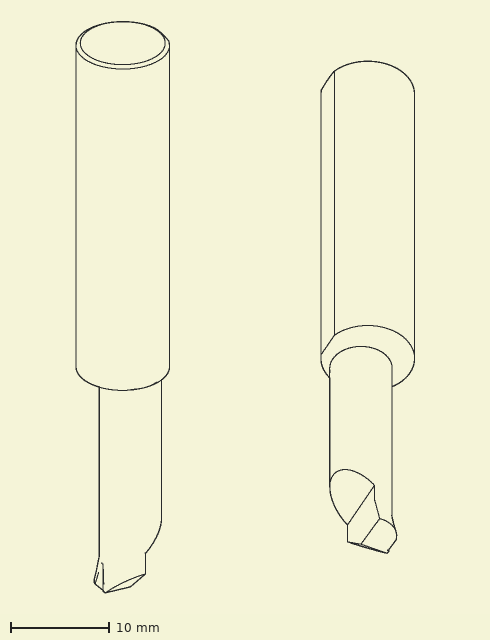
import cadquery as cq

total_length = 63.5
shank_radius = 4.75
shank_bottom = 25.4
shank_flat_y = 4.5
shank_chamfer_width = 0.45
shank_chamfer_height = 0.25
neck_radius = 3.2
neck_x = shank_radius - neck_radius

rake_start_z = 5.85
rake_end_z = 8.7

tip_top = 3.8
tip_lean = 1.2
tip_back_relief = 0.1
bottom_slope_x = 0.06
bottom_slope_y = 0.12
corner_bevel_top = 3.4
clearance = 12.7


def make_shank():
    length = total_length - shank_bottom
    chamfered_radius = shank_radius - shank_chamfer_width
    profile = [
        (0, shank_bottom),
        (shank_radius, shank_bottom),
        (shank_radius, total_length - shank_chamfer_height),
        (chamfered_radius, total_length),
        (0, total_length),
    ]
    shank = cq.Workplane("XZ").polyline(profile).close().revolve(360, (0, 0), (0, 1))
    flat_cut = (
        cq.Workplane("XY", origin=(0, shank_flat_y, shank_bottom))
        .box(clearance, clearance, length, centered=(True, False, False))
    )
    return shank.cut(flat_cut)


def make_tip():
    slanted = (
        cq.Workplane("XY", origin=(neck_x - tip_lean, 0, 0))
        .circle(neck_radius)
        .workplane(offset=tip_top)
        .center(tip_lean, 0)
        .circle(neck_radius)
        .loft(ruled=True)
    )
    side_outline = [
        (0, 0),
        (0, tip_top),
        (-neck_radius, tip_top),
        (-neck_radius + tip_back_relief, 0),
    ]
    envelope = (
        cq.Workplane("YZ", origin=(neck_x - clearance, 0, 0))
        .polyline(side_outline)
        .close()
        .extrude(clearance)
    )
    return slanted.intersect(envelope)


def make_rake_cut():
    outline = [
        (0, -clearance),
        (0, rake_start_z),
        (neck_radius, rake_end_z),
        (clearance, rake_end_z),
        (clearance, -clearance),
    ]
    return cq.Workplane("YZ").polyline(outline).close().extrude(clearance, both=True)


def make_corner_bevel_cut():
    outline = [
        (shank_radius, corner_bevel_top),
        (shank_radius - clearance, corner_bevel_top - clearance),
        (shank_radius, corner_bevel_top - clearance),
    ]
    return cq.Workplane("XZ").polyline(outline).close().extrude(clearance, both=True)


def make_end_relief_cut():
    cutting_point = (neck_x - neck_radius - tip_lean, 0, 0)
    end_plane = cq.Plane(
        origin=cutting_point,
        xDir=(1, 0, bottom_slope_x),
        normal=(-bottom_slope_x, bottom_slope_y, 1),
    )
    return cq.Workplane(end_plane).rect(2 * clearance, 2 * clearance).extrude(-clearance)


def make_neck():
    tip_space = cq.Workplane("XY", origin=(neck_x - clearance, 0, tip_top - clearance)).box(
        clearance, clearance, clearance, centered=(False, True, False)
    )
    return (
        cq.Workplane("XY", origin=(neck_x, 0, 0))
        .circle(neck_radius)
        .extrude(shank_bottom)
        .cut(make_rake_cut())
        .cut(tip_space)
        .cut(make_corner_bevel_cut())
        .cut(make_end_relief_cut())
    )


tip = make_tip().cut(make_end_relief_cut())
result = make_shank().union(make_neck()).union(tip)